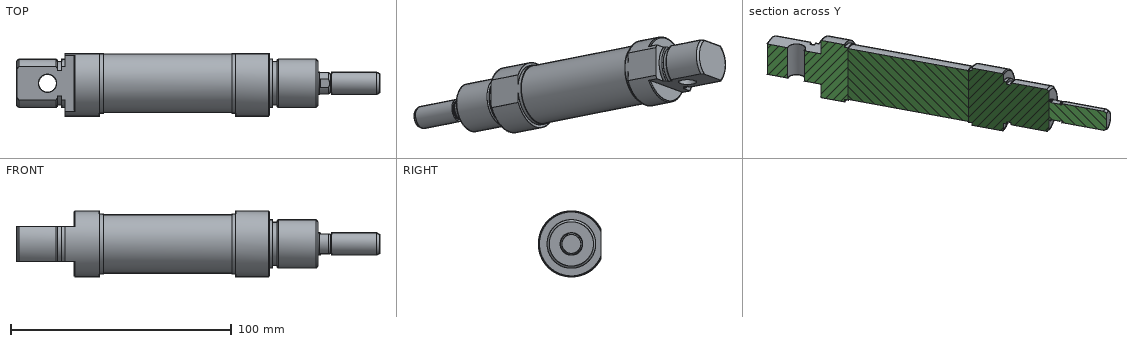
import cadquery as cq

rear_ear_end = 0.0
rear_cap_start = 22.0
rear_flats_end = 26.0
rear_cap_end = 37.6
tube_start = 39.5
tube_end = 97.8
front_cap_start = 99.5
front_cap_end = 114.8
nose_end = 137.0
rod_thread_start = 143.0
rod_end = 165.0

cap_radius = 15.0
cap_flat_y = 13.5
cap_edge_chamfer = 0.5
collar_radius = 13.7
tube_radius = 13.4

spigot_radius = 11.0
spigot_end_chamfer = 1.0
groove_radius = 9.9
groove_width = 2.0
groove_edge_chamfer = 0.58
shoulder_length = 1.5

ear_thickness = 16.0
ear_hole_x = 14.0
ear_hole_diameter = 8.1

rod_radius = 5.1
neck_start = 137.6
neck_radius = 5.0
wrench_flat_start = 138.0
wrench_flat_width = 9.0
rod_cone_start = 141.5
undercut_radius = 4.3
undercut_width = 0.5
rod_end_chamfer_length = 1.5
rod_end_radius = 4.3

tool_margin = 1.6


def revolve_profile(points):
    """Solid of revolution about X from (x, radius) points that start and end on the axis."""
    return cq.Workplane("XY").polyline(points).close().revolve(360, (0, 0, 0), (1, 0, 0))


def x_slab(x_start, x_end, y_start, y_end, z_start, z_end):
    """Box between the given limits."""
    size = (x_end - x_start, y_end - y_start, z_end - z_start)
    return cq.Workplane("XY").box(*size, centered=False).translate((x_start, y_start, z_start))


def spigot_profile(cap_face, free_end):
    """(x, radius) points from a cap face out to the free end of its spigot."""
    out = 1 if free_end > cap_face else -1
    groove_near = cap_face + out * shoulder_length
    groove_far = groove_near + out * groove_width
    return [
        (cap_face, spigot_radius),
        (groove_near, spigot_radius),
        (groove_near, groove_radius),
        (groove_far, groove_radius),
        (groove_far, spigot_radius - groove_edge_chamfer),
        (groove_far + out * groove_edge_chamfer, spigot_radius),
        (free_end - out * spigot_end_chamfer, spigot_radius),
        (free_end, spigot_radius - spigot_end_chamfer),
        (free_end, 0),
    ]


def cut_side_flat(cap, x_start, x_end):
    """Trims the +Y side of a cap to its flat."""
    return cap.cut(x_slab(x_start, x_end, cap_flat_y, cap_radius + tool_margin, -cap_radius, cap_radius))


def make_rear_cap():
    spigot = spigot_profile(rear_cap_start, rear_ear_end)
    cap = revolve_profile(
        [(tube_start, 0), (tube_start, collar_radius), (rear_cap_end, collar_radius)]
        + [(rear_cap_end, cap_radius), (rear_cap_start, cap_radius)]
        + spigot
    )

    flats_tool = revolve_profile(
        [
            (rear_ear_end, 0),
            (rear_ear_end, cap_radius + tool_margin),
            (rear_flats_end + cap_edge_chamfer, cap_radius + tool_margin),
            (rear_flats_end + cap_edge_chamfer, cap_radius),
            (rear_flats_end, cap_radius - cap_edge_chamfer),
            (rear_flats_end, 0),
        ]
    )
    reach = cap_radius + 2 * tool_margin
    half = ear_thickness / 2
    ear_core = x_slab(rear_ear_end, tube_start, -reach, reach, -half, half)
    cap = cap.cut(flats_tool.cut(ear_core))

    cross_hole = (
        cq.Workplane("XY", origin=(ear_hole_x, 0, 0))
        .circle(ear_hole_diameter / 2)
        .extrude(ear_thickness, both=True)
    )
    return cut_side_flat(cap.cut(cross_hole), rear_cap_start, tube_start)


def make_tube():
    return cq.Workplane("YZ", origin=(tube_start, 0, 0)).circle(tube_radius).extrude(tube_end - tube_start)


def make_front_cap():
    spigot = spigot_profile(front_cap_end, nose_end)
    cap = revolve_profile(
        [(tube_end, 0), (tube_end, collar_radius), (front_cap_start, collar_radius)]
        + [(front_cap_start, cap_radius), (front_cap_end - cap_edge_chamfer, cap_radius)]
        + [(front_cap_end, cap_radius - cap_edge_chamfer)]
        + spigot
    )
    return cut_side_flat(cap, tube_end, front_cap_end)


def make_rod():
    undercut_start = rod_thread_start - undercut_width
    rod = revolve_profile(
        [
            (nose_end, 0),
            (nose_end, rod_radius),
            (neck_start, rod_radius),
            (neck_start, neck_radius),
            (rod_cone_start, neck_radius),
            (undercut_start, undercut_radius),
            (rod_thread_start, undercut_radius),
            (rod_thread_start, rod_radius),
            (rod_end - rod_end_chamfer_length, rod_radius),
            (rod_end, rod_end_radius),
            (rod_end, 0),
        ]
    )
    low = wrench_flat_width / 2
    for z_start, z_end in ((low, rod_radius + tool_margin), (-rod_radius - tool_margin, -low)):
        rod = rod.cut(x_slab(wrench_flat_start, rod_thread_start, -rod_radius, rod_radius, z_start, z_end))
    return rod


rear_cap = make_rear_cap()
tube = make_tube()
front_cap = make_front_cap()
rod = make_rod()

result = cq.Compound.makeCompound([rear_cap.val(), tube.val(), front_cap.val(), rod.val()])